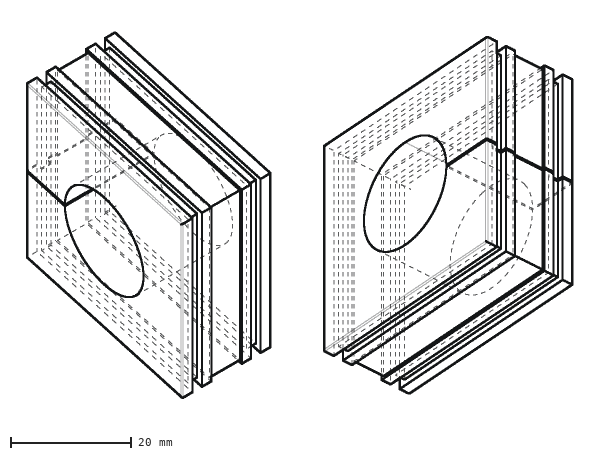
import cadquery as cq

width = 41.5
thickness = 19.0
height = 42.0

seal_groove_width = 2.0
seal_groove_depth = 1.25
inner_rib_width = 2.0
centre_recess_width = 6.5
centre_recess_depth = 0.5
seal_groove_offset = (centre_recess_width + seal_groove_width) / 2 + inner_rib_width

face_edge_radius = 0.25

bore_diameter = 21.0
slit_gap = 0.3


def make_block():
    """Rectangular block with softened edges around its two large faces."""
    block = cq.Workplane("XY").box(width, thickness, height)
    return block.faces("<Y or >Y").edges().fillet(face_edge_radius)


def perimeter_groove(groove_width, depth, y_centre):
    """Rectangular ring that cuts a groove around the four outer sides."""
    outer = cq.Workplane("XY").box(width, groove_width, height)
    core = cq.Workplane("XY").box(width - 2 * depth, groove_width, height - 2 * depth)
    return outer.cut(core).translate((0, y_centre, 0))


def make_bore():
    """Round cable passage through the thickness."""
    return cq.Workplane("XY").cylinder(thickness, bore_diameter / 2, direct=(0, 1, 0))


def make_slit():
    """Thin cut from the -X side to the bore axis, so the block can be opened."""
    slit_length = width / 2
    return cq.Workplane("XY").box(slit_length, thickness, slit_gap).translate((-slit_length / 2, 0, 0))


result = make_block()
for side in (-1, 1):
    result = result.cut(
        perimeter_groove(seal_groove_width, seal_groove_depth, side * seal_groove_offset)
    )
result = result.cut(perimeter_groove(centre_recess_width, centre_recess_depth, 0))
result = result.cut(make_bore())
result = result.cut(make_slit())